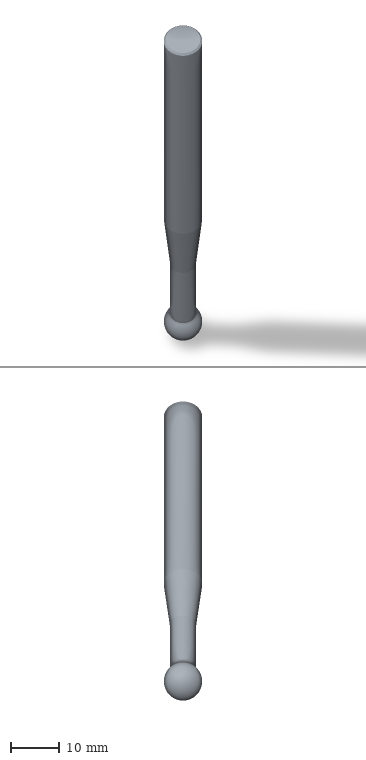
import cadquery as cq
import math

overall_length = 100.0
shank_diameter = 8.0
shank_length = 61.0
shank_chamfer = 0.4
taper_length = 15.0
neck_diameter = 5.4
ball_diameter = 8.0

shank_radius = shank_diameter / 2
neck_radius = neck_diameter / 2
ball_radius = ball_diameter / 2
shank_bottom_z = overall_length - shank_length
taper_bottom_z = shank_bottom_z - taper_length
neck_bottom_z = ball_radius + math.sqrt(ball_radius**2 - neck_radius**2)


def make_body():
    """Revolve the half outline of ball, neck, taper and shank about the Z axis."""
    outline = (
        cq.Workplane("XZ")
        .moveTo(0, 0)
        .threePointArc((ball_radius, ball_radius), (neck_radius, neck_bottom_z))
        .lineTo(neck_radius, taper_bottom_z)
        .lineTo(shank_radius, shank_bottom_z)
        .lineTo(shank_radius, overall_length)
        .lineTo(0, overall_length)
        .close()
    )
    return outline.revolve(360, (0, 0, 0), (0, 1, 0))


def chamfer_shank_end(body):
    """Break the edge of the flat shank end."""
    return body.faces(">Z").edges().chamfer(shank_chamfer)


result = chamfer_shank_end(make_body())